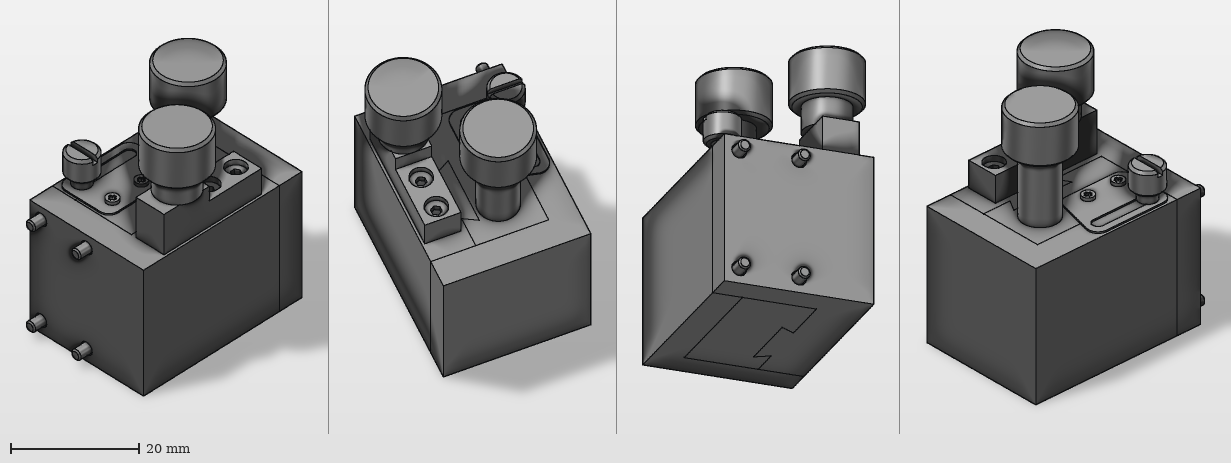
import cadquery as cq
import math

BLOCK_SIDE = 25.02
BLOCK_DEPTH = 35.0
WALL = 5.0
BACK_Y = BLOCK_DEPTH - WALL
TOP = BLOCK_SIDE

RAIL_FACE_X = 17.4
RAIL_DEPTH = 2.4
RAIL_TIP_X = RAIL_FACE_X - RAIL_DEPTH
RAIL_CENTRE_Y = 19.65
RAIL_TIP_WIDTH = 12.3
RAIL_ANGLE = 30.0
RAIL_NECK_WIDTH = RAIL_TIP_WIDTH - 2 * RAIL_DEPTH * math.tan(math.radians(RAIL_ANGLE))

KNOB_RADIUS = 6.0
KNOB_HEIGHT = 8.0
KNOB_CHAMFER = 0.5
KNOB_TOP = 45.5
DRIVE_KNOB = (10.95, 23.95)
DRIVE_SHAFT_RADIUS = 3.5
LIFT_KNOB = (21.48, 10.95)
LIFT_SHAFT_RADIUS = 4.05

MOUNT_WIDTH = 6.15
MOUNT_LENGTH = 21.5
MOUNT_HIGH_LENGTH = 10.0
MOUNT_HIGH = 8.0
MOUNT_LOW = 5.1
SOCKET_SCREW_YS = (17.95, 24.0)
COUNTERBORE_RADIUS = 1.9
COUNTERBORE_DEPTH = 1.1
HEX_FLATS = 1.6
HEX_DEPTH = 1.0

PLATE_THICKNESS = 0.3
PLATE_LEFT = 0.5
PLATE_RIGHT = 12.0
PLATE_FRONT = 5.4
PLATE_LEFT_BACK = 22.05
PLATE_SLOPE = 14.5
PLATE_CORNER = 2.0
PLATE_TOP = TOP + PLATE_THICKNESS
SLOT_WIDTH = 2.28
SLOT_TRAVEL = 10.45

CROSS_SCREW_X = 9.5
CROSS_SCREW_YS = (8.7, 15.1)
CROSS_HEAD_RADIUS = 1.2
CROSS_HEAD_HEIGHT = 0.65
CROSS_LENGTH = 1.27
CROSS_WIDTH = 0.5
CROSS_DEPTH = 0.3

LOCK = (3.0, 8.5)
LOCK_RADIUS = 3.0
LOCK_BOTTOM = TOP + 2.2
LOCK_TOP = TOP + 6.85
LOCK_CHAMFER = 0.5
LOCK_NECK_RADIUS = 1.77
LOCK_STEM_RADIUS = SLOT_WIDTH / 2
LOCK_SLOT_WIDTH = 1.0
LOCK_SLOT_DEPTH = 1.15

PIN_RADIUS = 1.0
PIN_PROJECTION = 2.5
PIN_CHAMFER = 0.27
PIN_HOLE_RADIUS = 1.25
PIN_EDGE = 2.5
PIN_PITCH_X = 10.0
PIN_POSITIONS = [(x, z) for x in (PIN_EDGE, PIN_EDGE + PIN_PITCH_X)
                 for z in (PIN_EDGE, BLOCK_SIDE - PIN_EDGE)]


def box(x0, x1, y0, y1, z0, z1):
    """Box between two opposite corners."""
    return cq.Workplane("XY").box(x1 - x0, y1 - y0, z1 - z0, centered=False).translate((x0, y0, z0))


def cylinder(centre, radius, z0, z1):
    """Vertical cylinder between two heights."""
    return cq.Workplane("XY", origin=(*centre, z0)).circle(radius).extrude(z1 - z0)


def lock_screw():
    """Slotted, chamfered screw head on a neck, with a stem that fills the plate thickness."""
    head = (
        cylinder(LOCK, LOCK_RADIUS, LOCK_BOTTOM, LOCK_TOP)
        .faces("<Z or >Z").chamfer(LOCK_CHAMFER)
    )
    x, y = LOCK
    driver_slot = box(
        x - LOCK_RADIUS, x + LOCK_RADIUS,
        y - LOCK_SLOT_WIDTH / 2, y + LOCK_SLOT_WIDTH / 2,
        LOCK_TOP - LOCK_SLOT_DEPTH, LOCK_TOP,
    )
    neck = cylinder(LOCK, LOCK_NECK_RADIUS, PLATE_TOP, LOCK_BOTTOM)
    stem = cylinder(LOCK, LOCK_STEM_RADIUS, TOP, PLATE_TOP)
    return head.cut(driver_slot).union(neck).union(stem)


def rear_bracket():
    """L-shaped body: back wall and left wall, with the lock screw on top."""
    back_wall = box(0, BLOCK_SIDE, BACK_Y, BLOCK_DEPTH, 0, TOP)
    left_wall = box(0, WALL, WALL, BACK_Y, 0, TOP)
    return back_wall.union(left_wall).union(lock_screw())


def dovetail_rail():
    """Vertical dovetail, wider at its tip, on the front bracket's side wall."""
    neck = RAIL_NECK_WIDTH / 2
    tip = RAIL_TIP_WIDTH / 2
    return (
        cq.Workplane("XY")
        .polyline([
            (RAIL_FACE_X, RAIL_CENTRE_Y - neck),
            (RAIL_FACE_X, RAIL_CENTRE_Y + neck),
            (RAIL_TIP_X, RAIL_CENTRE_Y + tip),
            (RAIL_TIP_X, RAIL_CENTRE_Y - tip),
        ])
        .close()
        .extrude(TOP)
    )


def clamp_plate():
    """Thin plate with a sloped back edge, rounded corners and a slot for the lock screw."""
    drop = (PLATE_RIGHT - PLATE_LEFT) * math.tan(math.radians(PLATE_SLOPE))
    plate = (
        cq.Workplane("XY", origin=(0, 0, TOP))
        .polyline([
            (PLATE_LEFT, PLATE_FRONT),
            (PLATE_RIGHT, PLATE_FRONT),
            (PLATE_RIGHT, PLATE_LEFT_BACK - drop),
            (PLATE_LEFT, PLATE_LEFT_BACK),
        ])
        .close()
        .extrude(PLATE_THICKNESS)
        .edges("|Z").fillet(PLATE_CORNER)
    )
    slot = (
        cq.Workplane("XY", origin=(LOCK[0], LOCK[1] + SLOT_TRAVEL / 2, TOP))
        .slot2D(SLOT_TRAVEL + SLOT_WIDTH, SLOT_WIDTH, 90)
        .extrude(PLATE_THICKNESS)
    )
    return plate.cut(slot)


def cross_screw_head(y):
    """Round screw head with a cross recess."""
    head_top = PLATE_TOP + CROSS_HEAD_HEIGHT
    head = cylinder((CROSS_SCREW_X, y), CROSS_HEAD_RADIUS, PLATE_TOP, head_top)
    recess_plane = cq.Workplane("XY", origin=(CROSS_SCREW_X, y, head_top))
    for length_x, length_y in ((CROSS_LENGTH, CROSS_WIDTH), (CROSS_WIDTH, CROSS_LENGTH)):
        head = head.cut(recess_plane.rect(length_x, length_y).extrude(-CROSS_DEPTH))
    return head


def middle_slide():
    """Slide between the brackets, carrying the clamp plate and its screws."""
    slide = box(WALL, RAIL_FACE_X, WALL, BACK_Y, 0, TOP).cut(dovetail_rail()).union(clamp_plate())
    for y in CROSS_SCREW_YS:
        slide = slide.union(cross_screw_head(y))
    return slide


def knob_mount():
    """Stepped block with hexagon sockets at the bottom of two counterbores."""
    left = LIFT_KNOB[0] - MOUNT_WIDTH / 2
    right = left + MOUNT_WIDTH
    mount = box(left, right, WALL, WALL + MOUNT_LENGTH, TOP, TOP + MOUNT_LOW)
    mount = mount.union(box(left, right, WALL, WALL + MOUNT_HIGH_LENGTH, TOP, TOP + MOUNT_HIGH))
    low_top = TOP + MOUNT_LOW
    floor = low_top - COUNTERBORE_DEPTH
    hex_diameter = HEX_FLATS / math.cos(math.radians(30))
    for y in SOCKET_SCREW_YS:
        socket = (
            cq.Workplane("XY", origin=(LIFT_KNOB[0], y, floor))
            .transformed(rotate=(0, 0, 90))
            .polygon(6, hex_diameter)
            .extrude(-HEX_DEPTH)
        )
        mount = mount.cut(cylinder((LIFT_KNOB[0], y), COUNTERBORE_RADIUS, floor, low_top)).cut(socket)
    return mount


def front_bracket():
    """L-shaped body: front plate with pin holes, right wall with dovetail, and the knob mount."""
    bracket = (
        box(0, BLOCK_SIDE, 0, WALL, 0, TOP)
        .union(box(RAIL_FACE_X, BLOCK_SIDE, WALL, BACK_Y, 0, TOP))
        .union(dovetail_rail())
        .union(knob_mount())
    )
    for x, z in PIN_POSITIONS:
        hole = cq.Workplane("XZ", origin=(x, 0, z)).circle(PIN_HOLE_RADIUS).extrude(-WALL)
        bracket = bracket.cut(hole)
    return bracket


def knob(centre, shaft_radius, shaft_bottom):
    """Chamfered knob on a plain round shaft."""
    knob_bottom = KNOB_TOP - KNOB_HEIGHT
    grip = cylinder(centre, KNOB_RADIUS, knob_bottom, KNOB_TOP).faces("<Z or >Z").chamfer(KNOB_CHAMFER)
    return grip.union(cylinder(centre, shaft_radius, shaft_bottom, knob_bottom))


def mounting_pin(x, z):
    """Pin through the front plate with a chamfered front end."""
    return (
        cq.Workplane("XZ", origin=(x, WALL, z))
        .circle(PIN_RADIUS)
        .extrude(WALL + PIN_PROJECTION)
        .faces("<Y").chamfer(PIN_CHAMFER)
    )


drive_knob = knob(DRIVE_KNOB, DRIVE_SHAFT_RADIUS, TOP)
lift_knob = knob(LIFT_KNOB, LIFT_SHAFT_RADIUS, TOP + MOUNT_HIGH)
mounting_pins = [mounting_pin(x, z).val() for x, z in PIN_POSITIONS]

result = cq.Compound.makeCompound([
    rear_bracket().val(),
    middle_slide().val(),
    front_bracket().val(),
    drive_knob.val(),
    lift_knob.val(),
    *mounting_pins,
])